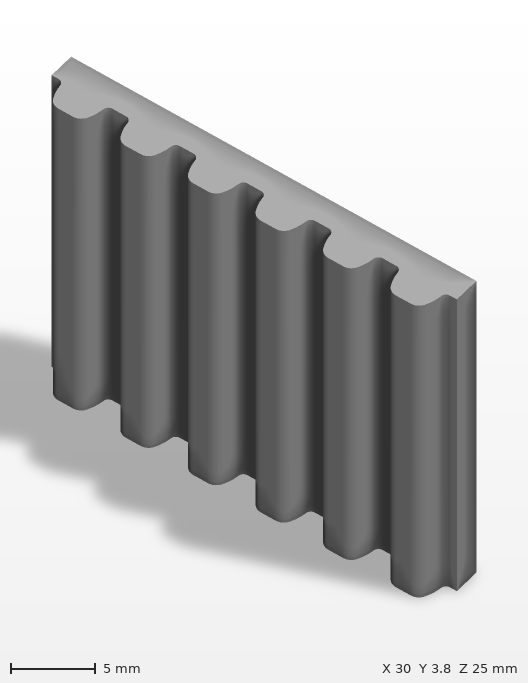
import cadquery as cq
import math

length = 30.0
width = 25.0
thickness = 3.8
tooth_height = 1.92
tooth_count = 6
tooth_root_width = 3.25
root_fillet = 0.4
tip_fillet = 0.8

pitch = length / tooth_count
back_thickness = thickness - tooth_height

flank_radius = tooth_root_width
half_root = tooth_root_width / 2


def flank_offset(depth):
    """Distance from the tooth centreline to its flank at a depth below the root line."""
    return math.sqrt(flank_radius**2 - depth**2) - half_root


def add_tooth(outline, center_x):
    """Continue the outline from left to right around one sharp-cornered tooth."""
    half_tip = flank_offset(tooth_height)
    mid_depth = tooth_height / 2
    half_mid = flank_offset(mid_depth)
    return (
        outline.lineTo(center_x - half_root, 0)
        .threePointArc((center_x - half_mid, -mid_depth), (center_x - half_tip, -tooth_height))
        .lineTo(center_x + half_tip, -tooth_height)
        .threePointArc((center_x + half_mid, -mid_depth), (center_x + half_root, 0))
    )


def corner_edges(body, y):
    """Select the tooth corner edges along Z at height y, leaving out the belt ends."""
    margin = root_fillet / 4
    selection = cq.selectors.BoxSelector(
        (margin, y - margin, -margin),
        (length - margin, y + margin, width + margin),
    )
    return body.edges("|Z").edges(selection)


profile = cq.Workplane("XY").moveTo(0, back_thickness).lineTo(0, 0)
for index in range(tooth_count):
    profile = add_tooth(profile, (index + 0.5) * pitch)
profile = profile.lineTo(length, 0).lineTo(length, back_thickness).close()
belt = profile.extrude(width)

belt = corner_edges(belt, -tooth_height).fillet(tip_fillet)
result = corner_edges(belt, 0).fillet(root_fillet)